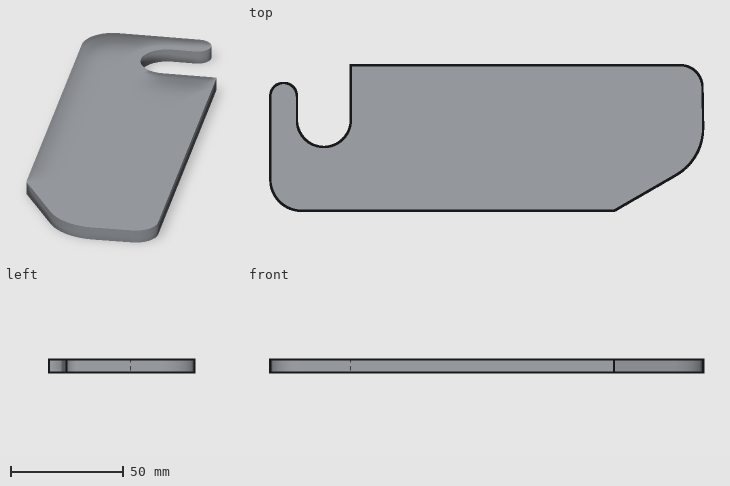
import cadquery as cq
import math

length = 193.0
width = 65.0
thickness = 6.0

finger_width = 12.0
finger_top = 57.1
slot_width = 24.0
slot_bottom = 28.5
heel_radius = 14.0

slope_start = 153.2
slope_angle = math.radians(30)
nose_radius = 24.3
end_lean = math.radians(1)
top_corner_radius = 10.0

finger_radius = finger_width / 2
slot_radius = slot_width / 2
slot_right = finger_width + slot_width


def on_circle(center, radius, angle):
    """Point on a circle at an angle measured from +X."""
    return (center[0] + radius * math.cos(angle), center[1] + radius * math.sin(angle))


nose_x = length - nose_radius
nose_y = (nose_x - slope_start) * math.tan(slope_angle) + nose_radius / math.cos(slope_angle)
nose_center = (nose_x, nose_y)
slope_normal = slope_angle - math.pi / 2
nose_start = on_circle(nose_center, nose_radius, slope_normal)
nose_middle = on_circle(nose_center, nose_radius, (slope_normal + end_lean) / 2)
nose_end = on_circle(nose_center, nose_radius, end_lean)

corner_y = width - top_corner_radius
corner_x = (
    nose_x
    + (nose_radius - top_corner_radius) / math.cos(end_lean)
    - (corner_y - nose_y) * math.tan(end_lean)
)
corner_center = (corner_x, corner_y)
corner_start = on_circle(corner_center, top_corner_radius, end_lean)
corner_middle = on_circle(corner_center, top_corner_radius, (end_lean + math.pi / 2) / 2)

heel_center = (heel_radius, heel_radius)
heel_middle = on_circle(heel_center, heel_radius, math.radians(225))

outline = (
    cq.Workplane("XY")
    .moveTo(heel_radius, 0)
    .lineTo(slope_start, 0)
    .lineTo(*nose_start)
    .threePointArc(nose_middle, nose_end)
    .lineTo(*corner_start)
    .threePointArc(corner_middle, (corner_x, width))
    .lineTo(slot_right, width)
    .lineTo(slot_right, slot_bottom + slot_radius)
    .threePointArc(
        (finger_width + slot_radius, slot_bottom),
        (finger_width, slot_bottom + slot_radius),
    )
    .lineTo(finger_width, finger_top - finger_radius)
    .threePointArc((finger_radius, finger_top), (0, finger_top - finger_radius))
    .lineTo(0, heel_radius)
    .threePointArc(heel_middle, (heel_radius, 0))
    .close()
)

result = outline.extrude(thickness)